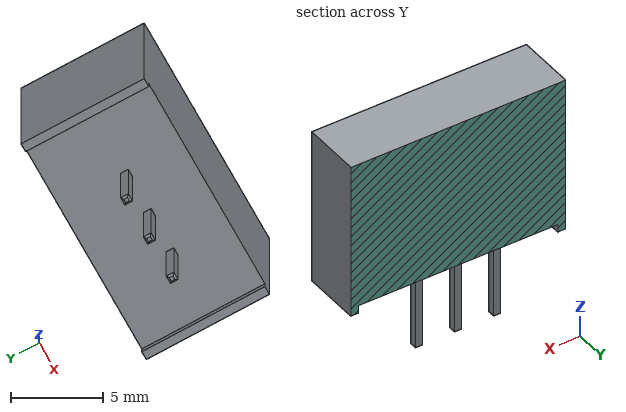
import cadquery as cq

BODY_LENGTH = 13.97
BODY_WIDTH = 7.62
BODY_HEIGHT = 10.16

FOOT_LENGTH = 0.508
FOOT_HEIGHT = 0.508

PIN_COUNT = 3
PIN_PITCH = 2.54
PIN_SIDE = 0.47
PIN_LENGTH_BELOW_FEET = 4.06
PIN_TIP_CHAMFER = 0.12
PIN_ROW_Y = -0.254


def make_body():
    """Block with a recess running through its full width between the two feet."""
    block = cq.Workplane("XY").box(
        BODY_LENGTH, BODY_WIDTH, BODY_HEIGHT, centered=(True, True, False)
    )
    recess = cq.Workplane("XY").box(
        BODY_LENGTH - 2 * FOOT_LENGTH, BODY_WIDTH, FOOT_HEIGHT, centered=(True, True, False)
    )
    return block.cut(recess)


def make_pin(x):
    """Square pin hanging from the recess ceiling, chamfered around its tip."""
    pin_length = FOOT_HEIGHT + PIN_LENGTH_BELOW_FEET
    return (
        cq.Workplane("XY")
        .workplane(offset=FOOT_HEIGHT)
        .center(x, PIN_ROW_Y)
        .rect(PIN_SIDE, PIN_SIDE)
        .extrude(-pin_length)
        .faces("<Z")
        .chamfer(PIN_TIP_CHAMFER)
    )


result = make_body()
for index in range(PIN_COUNT):
    pin_x = (index - (PIN_COUNT - 1) / 2) * PIN_PITCH
    result = result.union(make_pin(pin_x))